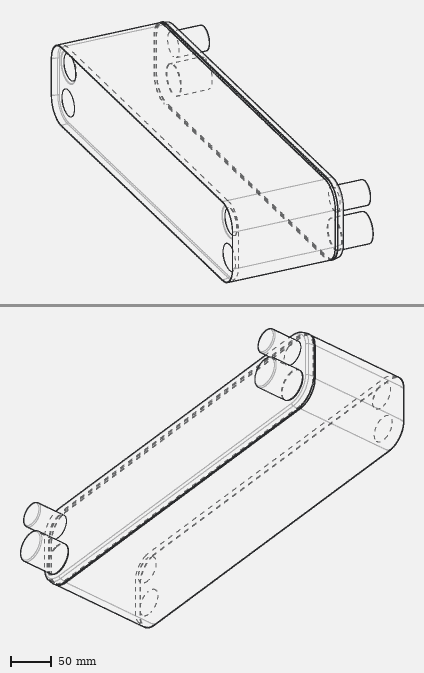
import cadquery as cq

LENGTH = 527.5
HEIGHT = 113.0
DEPTH = 199.0

COVER_THICKNESS = 9.5
COVER_DRAFT = 2.0
COVER_CORNER_RADIUS = 32.0
COVER_EDGE_FILLET = 3.0
COLLAR_HEIGHT = 1.0

SPACER_THICKNESS = 3.0
SPACER_INSET = 1.0

LIP_OVERHANG = 1.0
PACK_CORNER_RADIUS = 29.5
RIM_WALL = 1.0
FLOOR_DRAFT = 1.0
RECESS_DEPTH = 9.5
FLOOR_FILLET = 1.5

PORT_X = 233.0
PORT_Z = 25.0
DOME_DIAMETER = 36.0
DOME_HEIGHT = 5.5
SINK_DIAMETER = 42.0
SINK_DEPTH = 2.5
SINK_FILLET = 1.5
LARGE_PIPE_DIAMETER = 41.5
LARGE_PIPE_LENGTH = 44.5
SMALL_PIPE_DIAMETER = 33.0
SMALL_PIPE_LENGTH = 42.5
PIPE_END_FILLET = 1.5

COVER_BACK_Y = DEPTH - LARGE_PIPE_LENGTH
COVER_LIP_Y = COVER_BACK_Y - COVER_THICKNESS
PACK_BACK_Y = COVER_LIP_Y - SPACER_THICKNESS

PORT_SIDES = (-PORT_X, PORT_X)


def facing_back(y, x=0, z=0):
    """Workplane at (x, y, z) whose normal points along +Y and whose local Y is +Z."""
    return cq.Workplane(cq.Plane(origin=(x, y, z), xDir=(-1, 0, 0), normal=(0, 1, 0)))


def rounded_outline(inset, corner_radius):
    """Rounded rectangle set in from the cover lip by the given amount."""
    outline = cq.Sketch().rect(LENGTH - 2 * inset, HEIGHT - 2 * inset)
    return outline.vertices().fillet(corner_radius)


def slab(y, thickness, inset, corner_radius, lean=0):
    """Rounded slab that starts at y and leans in evenly on all sides towards +Y."""
    if lean == 0:
        return facing_back(y).placeSketch(rounded_outline(inset, corner_radius)).extrude(thickness)
    near = rounded_outline(inset, corner_radius)
    far = rounded_outline(inset + lean, corner_radius - lean)
    return facing_back(y).placeSketch(near, far.moved(cq.Location((0, 0, thickness)))).loft()


def cylinder(x, y, z, diameter, length):
    """Cylinder that starts at (x, y, z) and runs towards +Y."""
    return facing_back(y, x, z).circle(diameter / 2).extrude(length)


def dome(x, floor_y, z):
    """Spherical cap that bulges towards -Y from a floor."""
    radius = DOME_DIAMETER / 2
    sphere_radius = (radius**2 + DOME_HEIGHT**2) / (2 * DOME_HEIGHT)
    center_y = floor_y - DOME_HEIGHT + sphere_radius
    sphere = cq.Workplane("XY").sphere(sphere_radius).translate((x, center_y, z))
    return sphere.intersect(cylinder(x, floor_y - DOME_HEIGHT, z, DOME_DIAMETER, DOME_HEIGHT))


def port_sink(x, z):
    """Conical sink in the recess floor, narrowing to the foot of the dome."""
    mouth = facing_back(RECESS_DEPTH, x, z).circle(SINK_DIAMETER / 2)
    return mouth.workplane(offset=SINK_DEPTH).circle(DOME_DIAMETER / 2).loft()


def make_plate_pack():
    pack = slab(0, PACK_BACK_Y, LIP_OVERHANG, PACK_CORNER_RADIUS)
    recess = slab(0, RECESS_DEPTH, LIP_OVERHANG + RIM_WALL, PACK_CORNER_RADIUS - RIM_WALL, FLOOR_DRAFT)
    recess = recess.faces(">Y").edges().fillet(FLOOR_FILLET)
    pack = pack.cut(recess)
    for x in PORT_SIDES:
        pack = pack.cut(port_sink(x, PORT_Z))
        mouth = cq.selectors.NearestToPointSelector((x, RECESS_DEPTH, PORT_Z))
        pack = pack.edges(mouth).fillet(SINK_FILLET)
        pack = pack.union(dome(x, RECESS_DEPTH + SINK_DEPTH, PORT_Z))
        pack = pack.union(dome(x, RECESS_DEPTH, -PORT_Z))
    return pack


def make_spacer():
    inset = LIP_OVERHANG + SPACER_INSET
    return slab(PACK_BACK_Y, SPACER_THICKNESS, inset, PACK_CORNER_RADIUS - SPACER_INSET)


def make_cover():
    cover = slab(COVER_LIP_Y, COVER_THICKNESS, 0, COVER_CORNER_RADIUS, COVER_DRAFT)
    cover = cover.faces(">Y").edges().fillet(COVER_EDGE_FILLET)
    for x in PORT_SIDES:
        cover = cover.union(cylinder(x, COVER_BACK_Y, -PORT_Z, LARGE_PIPE_DIAMETER, COLLAR_HEIGHT))
    return cover


def make_pipe(x, z, diameter, length, seat_height):
    """Connection pipe standing on the cover, or on a collar of the given seat height."""
    pipe = cylinder(x, COVER_BACK_Y + seat_height, z, diameter, length - seat_height)
    return pipe.faces(">Y").edges().fillet(PIPE_END_FILLET)


plate_pack = make_plate_pack()
spacer = make_spacer()
cover = make_cover()
large_pipes = [make_pipe(x, -PORT_Z, LARGE_PIPE_DIAMETER, LARGE_PIPE_LENGTH, COLLAR_HEIGHT) for x in PORT_SIDES]
small_pipes = [make_pipe(x, PORT_Z, SMALL_PIPE_DIAMETER, SMALL_PIPE_LENGTH, 0) for x in PORT_SIDES]

bodies = [plate_pack, spacer, cover, *large_pipes, *small_pipes]
result = cq.Compound.makeCompound([body.val() for body in bodies])